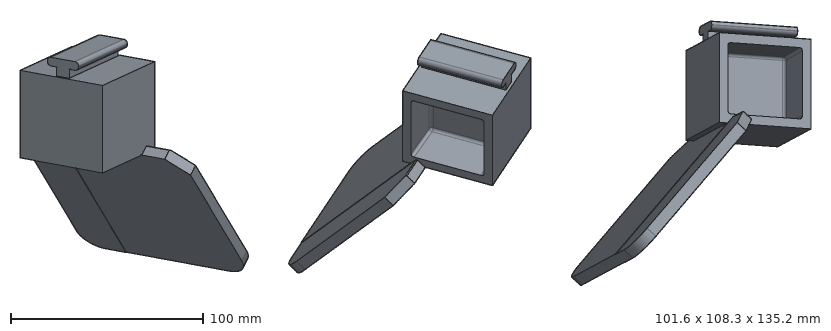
import cadquery as cq
box_side = 50.8
box_height = 47.6
wall = 4.9

cavity_depth = 23.2
cavity_draft = 2.5
cavity_fillet = 1.6

rail_length = 47.6
rail_height = 9.6
rail_width = 19.2
rail_head = 4.7
rail_stem = 7.7
rail_round = 2.3

flap_size = 2 * box_side
flap_thickness = 6.4
flap_angle = 50.0
flap_inset = 12.7
flap_chamfer = 11.4
flap_round = 12.7
flap_bevel = 0.61
wing_drop = 0.2


def make_box():
    return cq.Workplane("XY").box(box_side, box_side, box_height, centered=(True, True, False))


def make_cavity():
    """Tapered pocket tool: mouth on the -X face, rounded corners and floor."""
    mouth_width = box_side - 2 * wall
    mouth_height = box_height - 2 * wall
    mouth = cq.Workplane("YZ", origin=(-box_side / 2, 0, box_height / 2))
    pocket = mouth.rect(mouth_width, mouth_height).extrude(cavity_depth, taper=cavity_draft)
    return pocket.edges("not <X").fillet(cavity_fillet)


def make_rail():
    stem = cq.Workplane("XY", origin=(0, 0, box_height)).box(
        rail_stem, rail_length, rail_height, centered=(True, True, False)
    )
    head = cq.Workplane("XY", origin=(0, 0, box_height + rail_height - rail_head)).box(
        rail_width, rail_length, rail_head, centered=(True, True, False)
    )
    return stem.union(head.edges("|Y").fillet(rail_round))


def make_flap_plate():
    """Whole flap lying flat along +Y, with its upper end edge bevelled."""
    plate = cq.Workplane("XY").box(flap_size, flap_size, flap_thickness, centered=(True, False, False))
    plate = plate.edges("|Z and <Y").chamfer(flap_chamfer)
    plate = plate.edges("|Z and >Y").fillet(flap_round)
    return plate.edges(">Z and <Y").chamfer(flap_bevel)


def make_flap():
    """Flap with its -X wing set slightly lower, tilted about its lower edge under the box."""
    wing_width = (flap_size - box_side) / 2
    wing_zone = cq.Workplane("XY", origin=(-flap_size / 2, 0, -flap_thickness)).box(
        wing_width, flap_size, 3 * flap_thickness, centered=False
    )
    plate = make_flap_plate()
    wing = plate.intersect(wing_zone).translate((0, 0, -wing_drop))
    flat_flap = plate.cut(wing_zone).union(wing)
    tilted = flat_flap.rotate((0, 0, 0), (1, 0, 0), -flap_angle)
    return tilted.translate((0, box_side / 2 - flap_inset, 0))


result = make_box().union(make_rail()).union(make_flap()).cut(make_cavity())